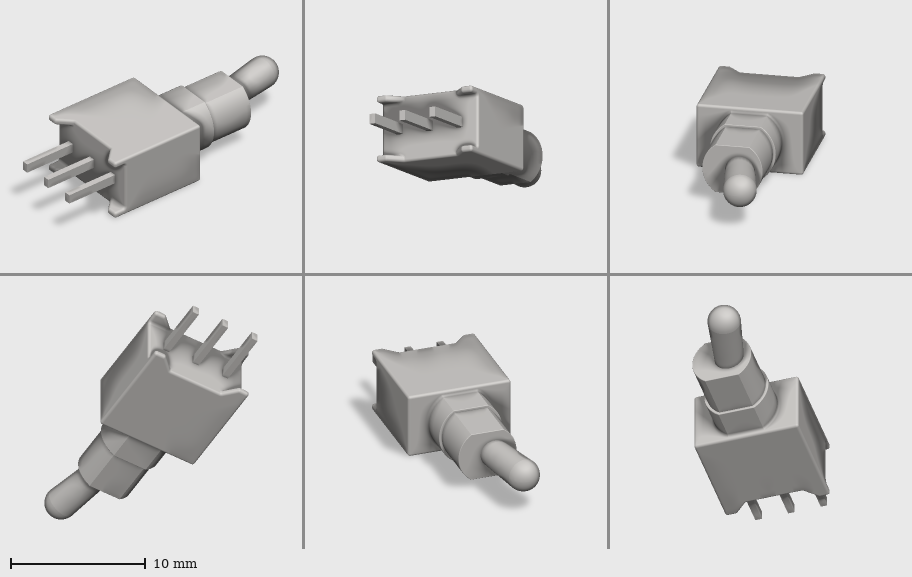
import cadquery as cq
import math

housing_width = 8.1
housing_height = 5.0
housing_length = 7.11
edge_radius = 0.2

foot_length = 1.0
foot_tip_width = 0.85
foot_root_width = foot_tip_width + foot_length
foot_thickness = 0.5

pin_count = 3
pin_pitch = 2.54
pin_width = 0.5
pin_height = 0.75
pin_length = 4.3

collar_diameter = 5.0
collar_flats = 4.2
collar_length = 2.45
collar_blend = 0.18
neck_diameter = 4.58
neck_flats = 3.78
neck_length = 3.65
rim_radius = 0.05

lever_end = 18.35
ball_radius = 1.25
ball_x = -1.4
lever_tilt = 12
lever_half_angle = 2
lever_length = 5.9

collar_end = housing_length + collar_length
neck_end = collar_end + neck_length


def make_housing():
    half_width = housing_width / 2
    half_notch = half_width - foot_root_width
    half_tip = half_width - foot_tip_width
    plate_outline = [
        (-half_width, housing_length),
        (-half_width, -foot_length),
        (-half_tip, -foot_length),
        (-half_notch, 0),
        (half_notch, 0),
        (half_tip, -foot_length),
        (half_width, -foot_length),
        (half_width, housing_length),
    ]
    footed = (
        cq.Workplane("XY").workplane(offset=-housing_height / 2)
        .polyline(plate_outline).close().extrude(housing_height)
    )
    gap_height = housing_height - 2 * foot_thickness
    gap = (
        cq.Workplane("XY")
        .box(housing_width, foot_length, gap_height)
        .translate((0, -foot_length / 2, 0))
    )
    return footed.cut(gap).edges().fillet(edge_radius)


def flatted_cylinder(diameter, flats, start, end):
    length = end - start
    cylinder = cq.Workplane("XZ", origin=(0, end, 0)).circle(diameter / 2).extrude(length)
    slab = cq.Workplane("XY").box(diameter, length, flats).translate((0, (start + end) / 2, 0))
    return cylinder.intersect(slab).faces(">Y").edges().fillet(rim_radius)


def make_lever():
    root_radius = ball_radius - lever_length * math.tan(math.radians(lever_half_angle))
    arc_mid = ball_radius * math.sqrt(0.5)
    return (
        cq.Workplane("XY")
        .moveTo(0, -lever_length)
        .lineTo(root_radius, -lever_length)
        .lineTo(ball_radius, 0)
        .threePointArc((arc_mid, arc_mid), (0, ball_radius))
        .close()
        .revolve(360, (0, 0, 0), (0, 1, 0))
        .rotate((0, 0, 0), (0, 0, 1), lever_tilt)
        .translate((ball_x, lever_end - ball_radius, 0))
    )


def make_pins():
    first_x = -(pin_count - 1) / 2 * pin_pitch
    pin_places = [(first_x + index * pin_pitch, 0) for index in range(pin_count)]
    return cq.Workplane("XZ").pushPoints(pin_places).rect(pin_width, pin_height).extrude(pin_length)


def blend_collar(part):
    margin = 0.02
    reach = collar_diameter / 2 + margin
    slice_box = cq.selectors.BoxSelector(
        (-reach, housing_length - margin, -reach),
        (reach, housing_length + margin, reach),
        boundingbox=True,
    )
    return part.edges(slice_box).fillet(collar_blend)


collar = flatted_cylinder(collar_diameter, collar_flats, housing_length, collar_end)
neck = flatted_cylinder(neck_diameter, neck_flats, collar_end, neck_end)

result = (
    blend_collar(make_housing().union(collar))
    .union(neck)
    .union(make_lever())
    .union(make_pins())
)